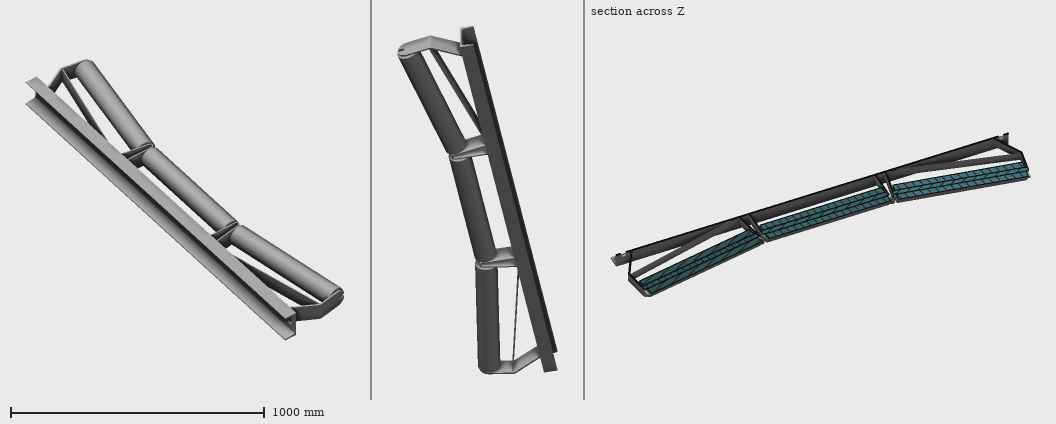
import cadquery as cq
import math


BEAM_LENGTH = 1701.0
BEAM_HEIGHT = 120.0
BEAM_DEPTH = 55.0
WEB_THICKNESS = 7.0
FLANGE_TIP = 6.0
FLANGE_ROOT = 11.0
FLANGE_ROOT_RADIUS = 9.4
FLANGE_TIP_RADIUS = 5.0
BOLT_SLOT_LENGTH = 35.0
BOLT_SLOT_WIDTH = 20.0
BOLT_SLOT_X = 818.0

ROLLER_DIAMETER = 89.0
ROLLER_LENGTH = 530.0
ROLLER_EDGE_RADIUS = 3.0
TROUGH_ANGLE = 10.0
CENTRE_AXIS_Y = 172.0
WING_INNER_X = 302.0
WING_INNER_Y = 177.0

SHAFT_DIAMETER = 20.0
TONGUE_WIDTH = 14.0

END_GAP = 5.0
STRIP_WIDTH = 75.0
INNER_THICKNESS = 5.0
INNER_TOP_Y = 200.0
INNER_TOP_RADIUS = 10.0
OUTER_THICKNESS = 7.0
KNEE_Y = 172.0
KNEE_RADIUS = 15.0
FOOT_X = 789.0
BRACE_THICKNESS = 4.3
BRACE_WIDTH = 65.0
BRACE_FOOT_X = 330.0
BRACE_TOP_Y = 180.0

TILT = math.radians(TROUGH_ANGLE)
HALF_ROLLER = ROLLER_LENGTH / 2
BRACKET_FACE = HALF_ROLLER + END_GAP
WING_X = WING_INNER_X + HALF_ROLLER * math.cos(TILT)
WING_Y = WING_INNER_Y + HALF_ROLLER * math.sin(TILT)


def place_centre(shape):
    """Move a shape built along X at the origin onto the centre roller axis."""
    return shape.translate((0, CENTRE_AXIS_Y, 0))


def place_wing(shape):
    """Move a shape built along X at the origin onto the right-hand wing roller axis."""
    return shape.rotate((0, 0, 0), (0, 0, 1), TROUGH_ANGLE).translate((WING_X, WING_Y, 0))


def place_left(shape):
    """Left-hand counterpart of a right-hand shape."""
    return shape.mirror("YZ")


def wing_point_at_height(along, y):
    """XY point at height y on the plane that crosses the wing axis squarely at distance `along`."""
    on_axis_x = WING_X + along * math.cos(TILT)
    on_axis_y = WING_Y + along * math.sin(TILT)
    return (on_axis_x - (y - on_axis_y) * math.tan(TILT), y)


def strip(points, width=STRIP_WIDTH):
    """Bracket strip with the given XY outline, centred on Z = 0."""
    return cq.Workplane("XY").polyline(points).close().extrude(width / 2, both=True)


def round_corner(shape, point, radius):
    """Round the Z-parallel edge that passes through an XY point."""
    return shape.edges(cq.selectors.NearestToPointSelector((*point, 0))).fillet(radius)


def make_roller():
    roller = (
        cq.Workplane("YZ", origin=(-HALF_ROLLER, 0, 0))
        .circle(ROLLER_DIAMETER / 2)
        .circle(SHAFT_DIAMETER / 2)
        .extrude(ROLLER_LENGTH)
    )
    rims = cq.selectors.RadiusNthSelector(-1)
    return roller.faces("<X or >X").edges(rims).fillet(ROLLER_EDGE_RADIUS)


def make_shaft(left_thickness, right_thickness):
    """Shaft whose tongues end flush with the far faces of brackets of the given thicknesses."""
    shaft = cq.Workplane("YZ").circle(SHAFT_DIAMETER / 2).extrude(HALF_ROLLER, both=True)
    for side, thickness in ((-1, left_thickness), (1, right_thickness)):
        reach = END_GAP + thickness
        tongue = cq.Workplane("XY").box(reach, SHAFT_DIAMETER, TONGUE_WIDTH)
        shaft = shaft.union(tongue.translate((side * (HALF_ROLLER + reach / 2), 0, 0)))
    return shaft


def make_tongue_slot(side, thickness):
    """Cutter for the flat-bottomed, open-topped slot of the bracket on one side of a roller."""
    slot = cq.Workplane("XY").box(thickness, ROLLER_DIAMETER, TONGUE_WIDTH)
    middle_y = (ROLLER_DIAMETER - SHAFT_DIAMETER) / 2
    return slot.translate((side * (BRACKET_FACE + thickness / 2), middle_y, 0))


def make_beam():
    """Channel with tapered flanges, rounded at root and tip, and a bolt slot at each end."""
    half = BEAM_HEIGHT / 2
    web_y = BEAM_DEPTH - WEB_THICKNESS
    tip_z = half - FLANGE_TIP
    root_z = half - FLANGE_ROOT
    outline = [
        (0, half),
        (BEAM_DEPTH, half),
        (BEAM_DEPTH, -half),
        (0, -half),
        (0, -tip_z),
        (web_y, -root_z),
        (web_y, root_z),
        (0, tip_z),
    ]
    beam = cq.Workplane("YZ").polyline(outline).close().extrude(BEAM_LENGTH / 2, both=True)
    for side in (-1, 1):
        for y, z, radius in ((0, tip_z, FLANGE_TIP_RADIUS), (web_y, root_z, FLANGE_ROOT_RADIUS)):
            edge = cq.selectors.NearestToPointSelector((0, y, side * z))
            beam = beam.edges("|X").edges(edge).fillet(radius)
    slots = (
        cq.Workplane("XZ")
        .pushPoints([(-BOLT_SLOT_X, 0), (BOLT_SLOT_X, 0)])
        .slot2D(BOLT_SLOT_LENGTH, BOLT_SLOT_WIDTH, 90)
        .extrude(-BEAM_DEPTH)
    )
    return beam.cut(slots)


def make_inner_arch(inset, radius):
    """Solid arch between centre and wing roller, its sides and top moved inwards by the inset."""
    left_x = BRACKET_FACE + inset
    top_y = INNER_TOP_Y - inset
    right = -BRACKET_FACE - inset
    arch = strip([
        (left_x, BEAM_DEPTH),
        (left_x, top_y),
        wing_point_at_height(right, top_y),
        wing_point_at_height(right, BEAM_DEPTH),
    ])
    return arch.edges("|Z and >Y").fillet(radius)


def make_inner_bracket():
    """Upside-down U that holds a centre tongue in one leg and a wing tongue in the other."""
    outside = make_inner_arch(0, INNER_TOP_RADIUS)
    inside = make_inner_arch(INNER_THICKNESS, INNER_TOP_RADIUS - INNER_THICKNESS)
    centre_slot = place_centre(make_tongue_slot(1, INNER_THICKNESS))
    wing_slot = place_wing(make_tongue_slot(-1, INNER_THICKNESS))
    return outside.cut(inside).cut(centre_slot).cut(wing_slot)


def make_outer_bracket():
    """Bent strip from the beam up to the outer end of the wing roller, with a round top."""
    outer_face = BRACKET_FACE + OUTER_THICKNESS
    knee = wing_point_at_height(outer_face, KNEE_Y)
    foot_lean = math.atan2(KNEE_Y - BEAM_DEPTH, knee[0] - FOOT_X)
    half_bend = (math.pi / 2 + TILT - foot_lean) / 2
    mitre = OUTER_THICKNESS / math.cos(half_bend)
    inner_knee = (
        knee[0] - mitre * math.cos(TILT - half_bend),
        knee[1] - mitre * math.sin(TILT - half_bend),
    )
    bracket = strip([
        (FOOT_X - OUTER_THICKNESS / math.sin(foot_lean), BEAM_DEPTH),
        (FOOT_X, BEAM_DEPTH),
        knee,
        (WING_X + outer_face * math.cos(TILT), WING_Y + outer_face * math.sin(TILT)),
        (WING_X + BRACKET_FACE * math.cos(TILT), WING_Y + BRACKET_FACE * math.sin(TILT)),
        inner_knee,
    ])
    bracket = round_corner(bracket, knee, KNEE_RADIUS)
    bracket = round_corner(bracket, inner_knee, KNEE_RADIUS - OUTER_THICKNESS)
    top = cq.Workplane("YZ", origin=(BRACKET_FACE, 0, 0)).circle(STRIP_WIDTH / 2).extrude(OUTER_THICKNESS)
    wing_slot = place_wing(make_tongue_slot(1, OUTER_THICKNESS))
    return bracket.union(place_wing(top)).cut(wing_slot)


def make_brace():
    """Narrower strip sloping from the beam up to the inner face of the outer bracket."""
    top_x, top_y = wing_point_at_height(BRACKET_FACE, BRACE_TOP_Y)
    slope = math.atan2(top_y - BEAM_DEPTH, top_x - BRACE_FOOT_X)
    outline = [
        (BRACE_FOOT_X, BEAM_DEPTH),
        (top_x, top_y),
        (top_x, top_y - BRACE_THICKNESS / math.cos(slope)),
        (BRACE_FOOT_X + BRACE_THICKNESS / math.sin(slope), BEAM_DEPTH),
    ]
    return strip(outline, BRACE_WIDTH)


def make_frame():
    """Beam with its brackets and braces welded on, as one solid."""
    frame = make_beam()
    for bracket in (make_inner_bracket(), make_outer_bracket(), make_brace()):
        frame = frame.union(bracket).union(place_left(bracket))
    return frame


frame = make_frame()
centre_shaft = place_centre(make_shaft(INNER_THICKNESS, INNER_THICKNESS))
right_shaft = place_wing(make_shaft(INNER_THICKNESS, OUTER_THICKNESS))
shafts = [centre_shaft, right_shaft, place_left(right_shaft)]

rollers = []
for place in (place_centre, place_wing, lambda shape: place_left(place_wing(shape))):
    rollers.append(place(make_roller()))

result = cq.Compound.makeCompound([
    frame.val(),
    *[roller.val() for roller in rollers],
    *[shaft.val() for shaft in shafts],
])